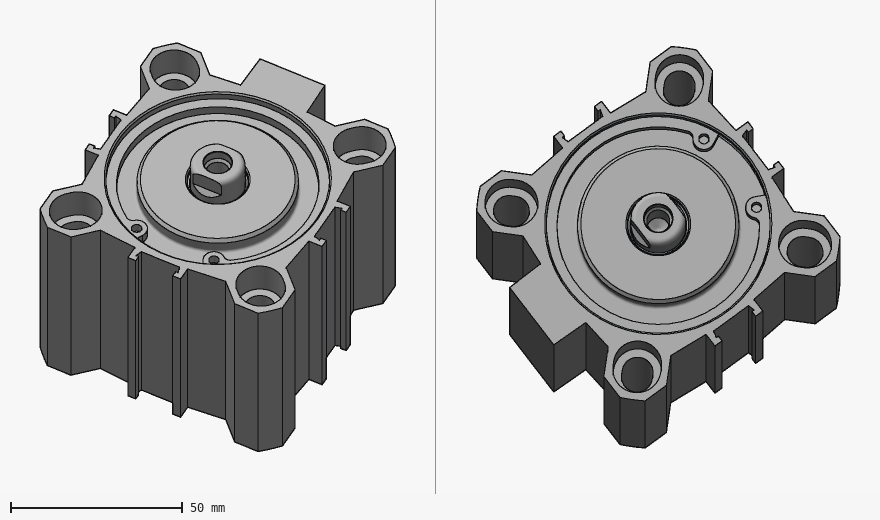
import cadquery as cq
import math

housing_height = 62.0
rod_top = 69.0

half_width = 40.0
lobe_radius = 53.0
lobe_neck = 27.0
wall_corner = 33.7
wall_lean = math.radians(5.0)

rail_outer = 8.7
rail_top = 39.1
lip_gap = 6.1
lip_bottom = 37.3
undercut = 6.9
slot_floor = 35.3
floor_half_width = 6.3
rail_root = 33.0

block_reach = 46.0
block_tip_half_width = 10.7
block_root_half_width = 11.0

mount_position = 30.5
mount_stretch = 1.4
mount_hole_width = 9.0
mount_seat_width = 14.0
mount_seat_depth = 10.3

bore_diameter = 65.1
bore_chamfer = 0.5
groove_diameter = 68.2
ring_depth = 2.6
ring_thickness = 3.0

ring_inner_diameter = 58.9
lug_radius = 3.15
lug_hole_diameter = 3.0
lug_x = 12.75
lug_y = -26.15
lug_blend = 2.0

cover_thickness = 12.0
boss_diameter = 47.0
boss_chamfer = 1.0
boss_drop = 0.65
boss_fillet = 0.85
mouth_diameter = 18.84
seat_diameter = 18.0
seat_depth = 1.0
opening_diameter = 17.7
opening_depth = 1.5
clearance_diameter = 16.54
clearance_depth = 3.0

rod_diameter = 16.0
rod_edge_radius = 1.65
rod_flats = 13.0
flat_height = 5.3
thread_rim_diameter = 8.57
thread_relief_diameter = 8.25
thread_relief_depth = 3.0
thread_diameter = 6.65
thread_depth = 14.0
drill_tip_angle = math.radians(118.0)

ring_top = housing_height - ring_depth
ring_bottom = ring_top - ring_thickness
cover_bottom = ring_bottom - cover_thickness
boss_top = housing_height - boss_drop


def diagonal_slot(width, x, y, z, depth):
    """Upright round-ended slot that is stretched away from the part's axis."""
    angle = math.degrees(math.atan2(y, x))
    slot = cq.Workplane("XY").slot2D(width + mount_stretch, width, angle).extrude(depth)
    return slot.translate((x, y, z))


def revolved(profile):
    """Turn a closed (radius, height) profile around Z."""
    return cq.Workplane("XZ").polyline(profile).close().revolve(360, (0, 0), (0, 1))


def housing_core():
    """Four lobes with rounded corners, joined by walls that bulge slightly in the middle."""
    neck_slope = half_width - lobe_neck
    wall_corner_side = wall_corner - neck_slope
    wall_middle = wall_corner + (wall_corner_side - rail_outer) * math.tan(wall_lean)
    one_side = [
        (half_width, -half_width),
        (half_width, -lobe_neck),
        (wall_corner, -wall_corner_side),
        (wall_middle, -rail_outer),
        (wall_middle, rail_outer),
        (wall_corner, wall_corner_side),
        (half_width, lobe_neck),
    ]
    outline = []
    for quarter in range(4):
        for x, y in one_side:
            for _ in range(quarter):
                x, y = -y, x
            outline.append((x, y))
    square_lobes = cq.Workplane("XY").polyline(outline).close().extrude(housing_height)
    return square_lobes.intersect(cq.Workplane("XY").circle(lobe_radius).extrude(housing_height))


def rail_pair():
    """Two lipped rails and the slot between them, on the +X wall."""
    upper_half = [
        (rail_root, rail_outer),
        (rail_top, rail_outer),
        (rail_top, lip_gap),
        (lip_bottom, lip_gap),
        (lip_bottom, undercut),
        (slot_floor, floor_half_width),
    ]
    lower_half = [(x, -y) for x, y in reversed(upper_half)]
    return cq.Workplane("XY").polyline(upper_half + lower_half).close().extrude(housing_height)


def port_block():
    """Slightly tapered block standing on the +Y wall."""
    outline = [
        (-block_root_half_width, rail_root),
        (block_root_half_width, rail_root),
        (block_tip_half_width, block_reach),
        (-block_tip_half_width, block_reach),
    ]
    return cq.Workplane("XY").polyline(outline).close().extrude(housing_height)


def make_housing():
    body = housing_core()
    for angle in (0, 180, 270):
        body = body.union(rail_pair().rotate((0, 0, 0), (0, 0, 1), angle))
    body = body.union(port_block())

    for x in (-mount_position, mount_position):
        for y in (-mount_position, mount_position):
            body = body.cut(diagonal_slot(mount_hole_width, x, y, 0, housing_height))
            seat_floor = housing_height - mount_seat_depth
            body = body.cut(diagonal_slot(mount_seat_width, x, y, seat_floor, mount_seat_depth))

    bore_radius = bore_diameter / 2
    groove_radius = groove_diameter / 2
    return body.cut(revolved([
        (0, cover_bottom),
        (bore_radius, cover_bottom),
        (bore_radius, ring_bottom),
        (groove_radius, ring_bottom),
        (groove_radius, ring_top),
        (bore_radius, ring_top),
        (bore_radius, housing_height - bore_chamfer),
        (bore_radius + bore_chamfer, housing_height),
        (0, housing_height),
    ]))


def make_retaining_ring():
    """Open ring in the groove, with a drilled lug at each side of the gap."""
    plane = cq.Workplane("XY").workplane(offset=ring_bottom)
    outer = plane.circle(groove_diameter / 2).extrude(ring_thickness)
    ring = outer.cut(plane.circle(ring_inner_diameter / 2).extrude(ring_thickness))

    reach = groove_diameter
    ray_length = math.hypot(lug_x, lug_y)
    ray = (lug_x / ray_length, lug_y / ray_length)
    side_foot = (lug_x + ray[1] * lug_radius, lug_y - ray[0] * lug_radius)
    side_end = (side_foot[0] + ray[0] * reach, side_foot[1] + ray[1] * reach)
    gap = plane.polyline([
        side_foot,
        side_end,
        (-side_end[0], side_end[1]),
        (-side_foot[0], side_foot[1]),
    ]).close().extrude(ring_thickness)
    ring = ring.cut(gap)

    lug_centres = [(-lug_x, lug_y), (lug_x, lug_y)]
    lugs = plane.pushPoints(lug_centres).circle(lug_radius).extrude(ring_thickness)
    ring = ring.union(lugs.intersect(outer))

    inner_radius = ring_inner_diameter / 2
    lug_angle = 2 * math.asin(lug_radius / 2 / inner_radius)
    corner_angle = math.atan2(lug_y, lug_x) + lug_angle
    corner_x = inner_radius * math.cos(corner_angle)
    corner_y = inner_radius * math.sin(corner_angle)
    for x in (-corner_x, corner_x):
        corner = cq.selectors.NearestToPointSelector((x, corner_y, ring_bottom + ring_thickness / 2))
        ring = ring.edges("|Z").edges(corner).fillet(lug_blend)

    holes = plane.pushPoints(lug_centres).circle(lug_hole_diameter / 2).extrude(ring_thickness)
    return ring.cut(holes)


def make_cover():
    """Plate under the ring, with a boss just below the housing top and a stepped rod opening."""
    plate_radius = bore_diameter / 2
    boss_radius = boss_diameter / 2
    mouth_chamfer = (mouth_diameter - seat_diameter) / 2
    fillet_middle = boss_fillet * (1 - math.sqrt(0.5))
    return (
        cq.Workplane("XZ")
        .moveTo(rod_diameter / 2, cover_bottom)
        .lineTo(plate_radius, cover_bottom)
        .lineTo(plate_radius, ring_bottom)
        .lineTo(boss_radius + boss_fillet, ring_bottom)
        .threePointArc(
            (boss_radius + fillet_middle, ring_bottom + fillet_middle),
            (boss_radius, ring_bottom + boss_fillet),
        )
        .lineTo(boss_radius, boss_top - boss_chamfer)
        .lineTo(boss_radius - boss_chamfer, boss_top)
        .lineTo(mouth_diameter / 2, boss_top)
        .lineTo(seat_diameter / 2, boss_top - mouth_chamfer)
        .lineTo(seat_diameter / 2, boss_top - seat_depth)
        .lineTo(opening_diameter / 2, boss_top - seat_depth)
        .lineTo(opening_diameter / 2, boss_top - opening_depth)
        .lineTo(clearance_diameter / 2, boss_top - opening_depth)
        .lineTo(clearance_diameter / 2, boss_top - clearance_depth)
        .lineTo(rod_diameter / 2, boss_top - clearance_depth)
        .close()
        .revolve(360, (0, 0), (0, 1))
    )


def make_rod():
    """Round rod with a rounded end, two wrench flats and a threaded hole."""
    rod_radius = rod_diameter / 2
    rod = cq.Workplane("XY").workplane(offset=cover_bottom).circle(rod_radius)
    rod = rod.extrude(rod_top - cover_bottom)
    rod = rod.faces(">Z").edges().fillet(rod_edge_radius)

    flat_distance = rod_flats / 2
    flat_bottom = rod_top - flat_height
    run_out = rod_radius - flat_distance
    flat_profile = [
        (flat_distance, rod_top),
        (flat_distance, flat_bottom),
        (rod_radius, flat_bottom - run_out),
        (rod_radius, rod_top),
    ]
    flat_cut = cq.Workplane("YZ").polyline(flat_profile).close().extrude(rod_radius, both=True)
    rod = rod.cut(flat_cut).cut(flat_cut.mirror("XZ"))

    thread_radius = thread_diameter / 2
    relief_radius = thread_relief_diameter / 2
    rim_radius = thread_rim_diameter / 2
    tip_height = thread_radius / math.tan(drill_tip_angle / 2)
    relief_bottom = rod_top - thread_relief_depth
    return rod.cut(revolved([
        (0, rod_top),
        (rim_radius, rod_top),
        (relief_radius, rod_top - (rim_radius - relief_radius)),
        (relief_radius, relief_bottom),
        (thread_radius, relief_bottom - (relief_radius - thread_radius)),
        (thread_radius, rod_top - thread_depth),
        (0, rod_top - thread_depth - tip_height),
    ]))


housing = make_housing()
retaining_ring = make_retaining_ring()
cover = make_cover()
rod = make_rod()

result = cq.Compound.makeCompound([housing.val(), retaining_ring.val(), cover.val(), rod.val()])